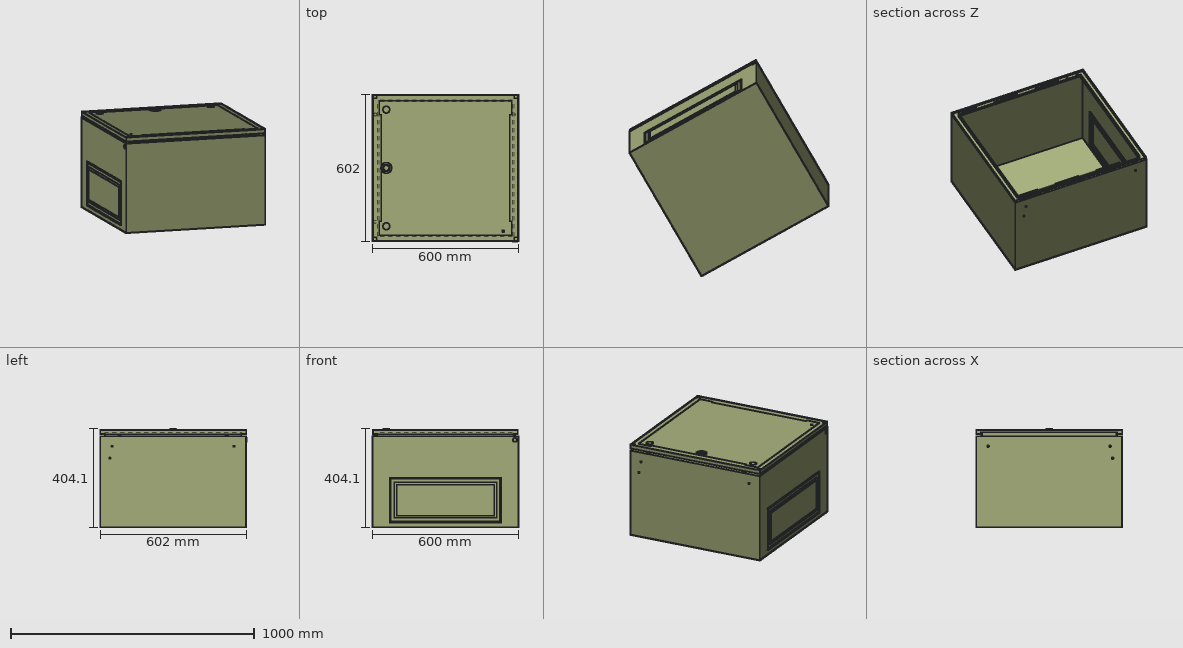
import cadquery as cq
width = 600.0
depth = 600.0
housing_height = 374.5
door_bottom = 382.5
door_top = 400.0
overall_height = 404.1
sheet = 1.5
front_face = -depth / 2
left_face = -width / 2


def block(size_x, size_y, bottom, top):
    """Box centred on the Z axis between two heights."""
    return cq.Workplane("XY").workplane(offset=bottom).rect(size_x, size_y).extrude(top - bottom)


def disc(diameter, x, y, bottom, top):
    """Upright cylinder between two heights."""
    return cq.Workplane("XY", origin=(x, y, bottom)).circle(diameter / 2).extrude(top - bottom)


rim_size = 560.0
rim_radius = 6.0
rim_width = 6.0
rim_top = door_bottom + 8.0
stud_spacing = 440.0
stud_diameter = 12.0
stud_x = -289.0
stud_height = 2.0
hinge_pin_diameter = 7.0
hinge_pin_x = 282.5
plug_diameter = 17.0
plug_x = 285.0
plug_z = 359.0
plug_height = 2.0
mount_hole_diameter = 6.0
mount_hole_y = 250.0
mount_hole_z = 333.0
earth_hole_diameter = 6.0
earth_hole_y = 260.0
earth_hole_z = 284.0

gland_z = 112.0
plate_size = (458.0, 184.0)
field_size = (447.0, 174.0)
pan_size = (420.0, 146.0)
panel_size = (400.0, 126.0)
lip_setback = 1.0
field_setback = 2.0
pan_setback = 0.5
panel_setback = 0.0
plate_back = 4.0


def gland_block(size, setback, back):
    """Upright block centred on the gland opening, between two distances behind the front face."""
    plane = cq.Workplane("XZ", origin=(0, front_face + setback, gland_z))
    return plane.rect(*size).extrude(setback - back)


def make_shell():
    inner_width = width - 2 * sheet
    inner_depth = depth - 2 * sheet
    mouth_size = rim_size - 2 * rim_width
    rim = block(rim_size, rim_size, housing_height - sheet, rim_top).edges("|Z").fillet(rim_radius)
    shell = block(width, depth, 0, housing_height).union(rim)
    shell = shell.cut(block(inner_width, inner_depth, sheet, housing_height - sheet))
    return shell.cut(block(mouth_size, mouth_size, housing_height - sheet, rim_top))


def make_housing():
    housing = make_shell()
    for y in (-stud_spacing / 2, stud_spacing / 2):
        housing = housing.union(disc(stud_diameter, stud_x, y, housing_height, housing_height + stud_height))
        housing = housing.union(disc(hinge_pin_diameter, hinge_pin_x, y, housing_height, door_bottom))
    plug = cq.Workplane("XZ", origin=(plug_x, front_face, plug_z)).circle(plug_diameter / 2).extrude(plug_height)
    left_wall = cq.Workplane("YZ", origin=(left_face, 0, 0))
    mount_points = [(-mount_hole_y, mount_hole_z), (mount_hole_y, mount_hole_z)]
    mount_holes = left_wall.pushPoints(mount_points).circle(mount_hole_diameter / 2).extrude(sheet)
    earth_hole = left_wall.center(earth_hole_y, earth_hole_z).circle(earth_hole_diameter / 2).extrude(sheet)
    housing = housing.union(plug).cut(mount_holes).cut(earth_hole)
    return housing.cut(gland_block(plate_size, 0, sheet))


def make_gland_plate():
    plate = gland_block(plate_size, lip_setback, plate_back)
    plate = plate.cut(gland_block(field_size, lip_setback, field_setback))
    for size, setback in ((pan_size, pan_setback), (panel_size, panel_setback)):
        plate = plate.union(gland_block(size, setback, plate_back))
    return plate


door_width = 595.0
door_sheet = 1.25
notch_size = 15.0
notch_radius = 3.0
band_thickness = 1.0
band_opening_width = 544.0
band_opening_length = 552.0
waist_width = 528.0
waist_length = 436.0
pad_diameter = 28.0
pad_spacing = 478.0
vent_hole_diameter = 8.0
vent_hole_x = 237.0
vent_hole_y = -259.0
sheet_underside = door_top - door_sheet
band_bottom = sheet_underside - band_thickness

lock_x = -242.5
knob_base_diameter = 28.0
knob_top_diameter = 23.0
lock_flange_diameter = 44.0


def make_seal_band():
    """Flat band against the door walls, wider along the waist and notched at the corners."""
    band = block(door_width, depth, band_bottom, sheet_underside)
    opening = block(band_opening_width, band_opening_length, band_bottom, sheet_underside)
    waist_sides = block(band_opening_width, waist_length, band_bottom, sheet_underside)
    waist_sides = waist_sides.cut(block(waist_width, waist_length, band_bottom, sheet_underside))
    notches = (
        cq.Workplane("XY", origin=(0, 0, band_bottom))
        .rect(door_width, depth, forConstruction=True).vertices()
        .rect(2 * notch_size, 2 * notch_size).extrude(band_thickness)
        .edges("|Z").fillet(notch_radius)
    )
    return band.cut(opening.cut(waist_sides)).cut(notches)


def make_door():
    door = block(door_width, depth, door_bottom, door_top)
    door = door.cut(block(door_width - 2 * door_sheet, depth - 2 * door_sheet, door_bottom, sheet_underside))
    door = door.union(make_seal_band())
    for y in (-pad_spacing / 2, pad_spacing / 2):
        door = door.union(disc(pad_diameter, lock_x, y, band_bottom, sheet_underside))
    door = door.cut(disc(lock_flange_diameter, lock_x, 0, band_bottom, sheet_underside))
    door = door.cut(disc(knob_base_diameter, lock_x, 0, sheet_underside, door_top))
    return door.cut(disc(vent_hole_diameter, vent_hole_x, vent_hole_y, sheet_underside, door_top))


def make_lock():
    flange = disc(lock_flange_diameter, lock_x, 0, band_bottom, sheet_underside)
    neck = disc(knob_base_diameter, lock_x, 0, sheet_underside, door_top)
    knob = (
        cq.Workplane("XY", origin=(lock_x, 0, door_top)).circle(knob_base_diameter / 2)
        .workplane(offset=overall_height - door_top).circle(knob_top_diameter / 2).loft()
    )
    return flange.union(neck).union(knob)


housing = make_housing()
gland_plate = make_gland_plate()
door = make_door()
lock = make_lock()

result = cq.Compound.makeCompound([housing.val(), gland_plate.val(), door.val(), lock.val()])